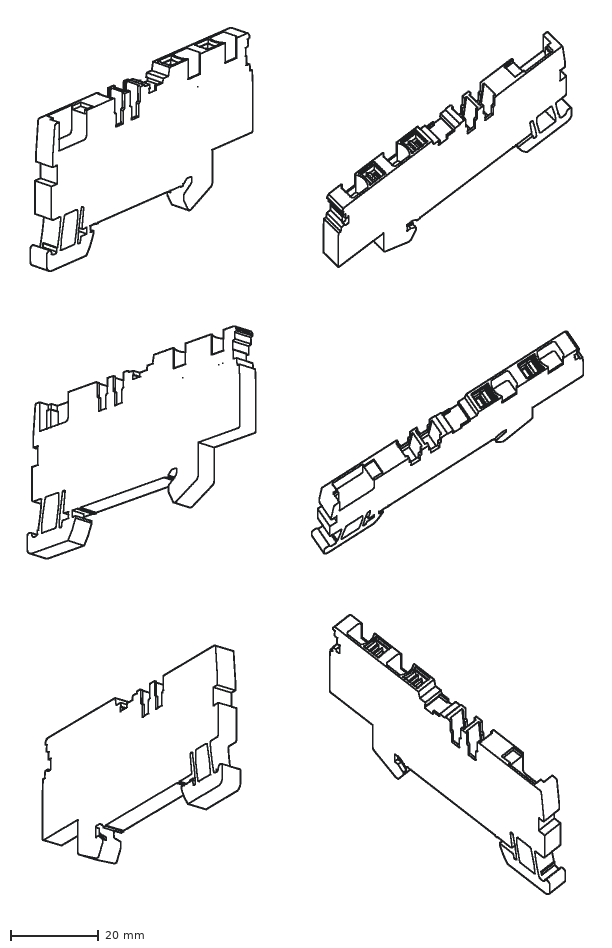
import cadquery as cq
import math


WIDTH = 5.1
LENGTH = 71.04
HEIGHT = 37.65
HALF = WIDTH / 2
MARGIN = 1.0
EDGE_WINDOW = 0.1

HOUSING_FLOOR = 12.5
LOW_TOP = 36.05
HIGH_TOP = HEIGHT
RAIL_SEAT = 6.95
HOUSING_FRONT = 1.6

SLOT_PITCH = 5.35
SLOT_FIRST_Y = 25.1
SLOT_COUNT = 2
SLOT_LIP_RADIUS = 0.4
SLOT_FLOOR = 28.75
SLOT_STEP_Z = 32.2
SLOT_WIDTH = 2.4
SLOT_MOUTH = 3.4
SLOT_TIP_CHAMFER = 0.45

SOCKET_X = (-2.0, 1.8)
SOCKET_TOP_WIDTH = 4.5
SOCKET_OFFSET_Y = -0.05
SOCKET_FLOOR = 26.0

MARKER_SHELF = 35.6
MARKER_FLOOR = 34.55
MARKER_Y = (35.62, 39.95)
MARKER_FLARE = 0.2
MARKER_WELL_Y = (35.3, 40.4)
MARKER_WELL_MID = 37.7
MARKER_WELL_FLOOR = 33.5
MARKER_WALL = 0.42

ENTRY_PITCH = 12.69
ENTRY_COUNT = 2
ENTRY_BACK = 66.15
ENTRY_SHOULDER = 61.5
ENTRY_TIP = 60.75
ENTRY_X = (-2.05, 2.25)
ENTRY_DEPTH = 8.0
ENTRY_CORNER = 0.6
ENTRY_OPEN_DEPTH = 5.0

RELEASE_X = (-1.93, 2.1)
RELEASE_Y = (55.98, 60.65)
RELEASE_BULGE = 0.35
RELEASE_DEPTH = 3.2
RELEASE_RIM_DEPTH = 1.0
RELEASE_RIM = 0.2
RIB_DEPTH = 2.0
BACK_RIB_Y = (59.6, 60.0)
BAR_Y = (57.85, 58.5)
BAR_TAPER = 0.45
BLADE_SLOT_Y = (56.5, 57.6)
BLADE_SLOT_HALF = 1.2
BLADE_SLOT_DEPTH = 1.0

BAY_X = -2.05
BAY_BACK = 13.7
BAY_FLOOR_RADIUS = 0.95
BAY_FRONT = 5.55
BAY_STEP_X = 0.35
BAY_STEP_FRONT = 4.25
BAY_FLOOR = 29.0
BAY_LEDGE_DEPTH = 1.5
BAY_LEDGE_Y = 0.28
BAY_LEDGE_X = 0.5
BAY_RECESS_X = (-1.62, 2.05)
BAY_RECESS_BACK = 16.4
BAY_RECESS_DEPTH = 1.0

FOOT_TOP = 5.35
LEG_OUTER_Y = 4.85
LEG_INNER_Y = 11.9
BASE_END_Y = 12.75
SPRING_ROOTS_Y = (LEG_OUTER_Y, LEG_INNER_Y, BASE_END_Y)
LEG_BEND = 52.0
LIP_X = (-1.7, HALF)
LIP_Y = (3.4, 3.8)
LIP_Z = (3.6, 5.15)
WEB_Y = (13.8, 15.1)
WEB_X = (-1.0, HALF)
SLOT_ROUND = 0.42
HOOK_RELIEF = 1.0
LATCH_RELIEF = 1.0
SEAT_PAD_DROP = 0.2
SEAT_PADS_Y = ((16.95, 17.75), (46.1, 47.1))


def rounded_wire(plane, corners):
    """Close a polygon; a third number on a corner is its rounding radius."""
    stretches = []
    count = len(corners)
    for i, corner in enumerate(corners):
        here = cq.Vector(corner[0], corner[1])
        if len(corner) == 2:
            stretches.append((here, None, here))
            continue
        before = corners[i - 1]
        after = corners[(i + 1) % count]
        to_before = (cq.Vector(before[0], before[1]) - here).normalized()
        to_after = (cq.Vector(after[0], after[1]) - here).normalized()
        half_angle = to_before.getAngle(to_after) / 2
        radius = corner[2]
        reach = radius / math.tan(half_angle)
        bisector = (to_before + to_after).normalized()
        middle = here + bisector * (radius / math.sin(half_angle) - radius)
        stretches.append((here + to_before * reach, middle, here + to_after * reach))
    start = stretches[0][2]
    wire = plane.moveTo(start.x, start.y)
    for entry, middle, leave in stretches[1:] + stretches[:1]:
        wire = wire.lineTo(entry.x, entry.y)
        if middle is not None:
            wire = wire.threePointArc((middle.x, middle.y), (leave.x, leave.y))
    return wire.close()


def side_plate(corners, x_range=(-HALF, HALF)):
    """Solid with the given Y-Z outline, between two X positions."""
    plane = cq.Workplane("YZ", origin=(x_range[0], 0, 0))
    return rounded_wire(plane, corners).extrude(x_range[1] - x_range[0])


def top_prism(corners, z_range):
    """Solid with the given X-Y outline, between two Z levels."""
    plane = cq.Workplane("XY", origin=(0, 0, z_range[0]))
    return rounded_wire(plane, corners).extrude(z_range[1] - z_range[0])


def block(x_range, y_range, z_range):
    """Box between two positions along each axis."""
    sizes = [high - low for low, high in (x_range, y_range, z_range)]
    corner = (x_range[0], y_range[0], z_range[0])
    return cq.Workplane("XY").box(*sizes, centered=False).translate(corner)


def housing():
    """Upper body with the notched ends and the stepped top."""
    return side_plate([
        (HOUSING_FRONT, HOUSING_FLOOR, 0.6),
        (HOUSING_FRONT, 21.0),
        (3.55, 21.0),
        (3.55, 25.6),
        (2.0, 25.6),
        (2.0, 27.9),
        (2.75, LOW_TOP, 0.6),
        (33.8, LOW_TOP, 0.35),
        (33.9, MARKER_SHELF),
        (41.9, MARKER_SHELF),
        (42.35, HIGH_TOP),
        (68.95, HIGH_TOP),
        (69.45, 37.5),
        (69.95, 36.75),
        (69.95, 36.3),
        (69.35, 36.05),
        (69.5, 34.4),
        (68.65, 34.1),
        (68.65, 32.05),
        (68.9, 32.05),
        (68.9, 29.75),
        (70.0, 29.65),
        (70.2, 27.95),
        (70.85, 27.95),
        (LENGTH, 24.5),
        (LENGTH, HOUSING_FLOOR, 0.5),
    ])


def base():
    """Lower body resting on the rail, with the fixed hook."""
    return side_plate([
        (BASE_END_Y, HOUSING_FLOOR),
        (12.1, RAIL_SEAT, 0.35),
        (46.9, RAIL_SEAT),
        (48.3, 8.2, 0.9),
        (50.05, 8.2, 0.5),
        (49.9, 6.6, 0.4),
        (47.25, 4.6, 0.5),
        (47.25, 3.0, 0.8),
        (48.9, 0.0, 0.3),
        (49.7, 0.0, 0.6),
        (57.15, 3.8, 1.2),
        (57.15, HOUSING_FLOOR),
    ])


def sprung_foot():
    """Movable foot hanging from two slanted legs."""
    foot = side_plate([
        (16.2, FOOT_TOP),
        (16.2, 4.8),
        (15.0, 2.05),
        (13.65, 0.0),
        (0.0, 0.0, 1.6),
        (0.0, 5.25, 0.76),
        (1.53, 5.25, 0.76),
        (1.7, 3.85, 0.7),
        (3.35, 3.85, 0.7),
        (4.43, 8.2, LEG_BEND),
        (LEG_OUTER_Y, HOUSING_FLOOR),
        (LEG_INNER_Y, HOUSING_FLOOR),
        (10.97, 7.4, LEG_BEND),
        (10.65, 3.85, 0.35),
        (11.5, 3.85, 0.35),
        (11.75, FOOT_TOP, 0.2),
    ])
    window = side_plate([
        (10.6, HOUSING_FLOOR, 0.5),
        (6.1, HOUSING_FLOOR, 0.5),
        (4.85, 6.3, 20.0),
        (4.85, 4.1),
        (9.65, 4.1, 0.5),
        (10.6, 9.8, 8.0),
    ])
    web = block(WEB_X, WEB_Y, (FOOT_TOP - MARGIN, RAIL_SEAT + MARGIN))
    lip = block(LIP_X, LIP_Y, LIP_Z)
    return foot.cut(window).union(web).union(lip)


def seat_pads():
    """Low pads near both ends of the rail seat."""
    z_range = (RAIL_SEAT - SEAT_PAD_DROP, RAIL_SEAT + MARGIN)
    pads = [block((-HALF, HALF), y_range, z_range) for y_range in SEAT_PADS_Y]
    return pads[0].union(pads[1])


def round_cross_edge(body, y, z, radius):
    """Round the edge that runs along X at the given Y and Z."""
    low = (-WIDTH, y - EDGE_WINDOW, z - EDGE_WINDOW)
    high = (WIDTH, y + EDGE_WINDOW, z + EDGE_WINDOW)
    return body.edges(cq.selectors.BoxSelector(low, high)).fillet(radius)


def round_spring_roots(body):
    """Round the inner corners where the legs meet the housing."""
    for y in SPRING_ROOTS_Y:
        body = round_cross_edge(body, y, HOUSING_FLOOR, SLOT_ROUND)
    return body


def plug_slot(centre):
    """Stepped plug slot through the full width."""
    half = SLOT_WIDTH / 2
    mouth = SLOT_MOUTH / 2
    top = LOW_TOP + MARGIN
    return side_plate([
        (centre - half, SLOT_FLOOR),
        (centre + half, SLOT_FLOOR),
        (centre + half, SLOT_STEP_Z - SLOT_TIP_CHAMFER / 2),
        (centre + mouth, SLOT_STEP_Z + SLOT_TIP_CHAMFER / 2),
        (centre + mouth, top),
        (centre - mouth, top),
        (centre - mouth, SLOT_STEP_Z + SLOT_TIP_CHAMFER / 2),
        (centre - half, SLOT_STEP_Z - SLOT_TIP_CHAMFER / 2),
    ])


def socket(centre):
    """Tapered hollow around a plug slot, between the side walls."""
    half = SLOT_WIDTH / 2
    middle = centre + SOCKET_OFFSET_Y
    top_half = SOCKET_TOP_WIDTH / 2
    return side_plate([
        (centre - half, SOCKET_FLOOR),
        (centre + half, SOCKET_FLOOR),
        (middle + top_half, LOW_TOP),
        (middle - top_half, LOW_TOP),
    ], SOCKET_X)


def cut_plug_slots(body):
    """Cut the plug slots, round the two outer lips, then hollow the sockets."""
    centres = [SLOT_FIRST_Y + i * SLOT_PITCH for i in range(SLOT_COUNT)]
    for centre in centres:
        body = body.cut(plug_slot(centre))
    for y in (centres[0] - SLOT_MOUTH / 2, centres[-1] + SLOT_MOUTH / 2):
        body = round_cross_edge(body, y, LOW_TOP, SLOT_LIP_RADIUS)
    for centre in centres:
        body = body.cut(socket(centre))
    return body


def marker_groove():
    """Flared groove with a deeper well; the well has one open half per side."""
    front, back = MARKER_Y
    groove = side_plate([
        (front, MARKER_FLOOR),
        (back, MARKER_FLOOR),
        (back + MARKER_FLARE, MARKER_SHELF),
        (front - MARKER_FLARE, MARKER_SHELF),
    ])
    well_z = (MARKER_WELL_FLOOR, MARKER_FLOOR)
    inner = HALF - MARKER_WALL
    front_half = block((-inner, HALF), (MARKER_WELL_Y[0], MARKER_WELL_MID), well_z)
    back_half = block((-HALF, inner), (MARKER_WELL_MID, MARKER_WELL_Y[1]), well_z)
    return groove.union(front_half).union(back_half)


def conductor_entry(shift):
    """Conductor funnel with a bowed front wall, open to the +X side near the top."""
    left, right = ENTRY_X
    shoulder = ENTRY_SHOULDER - shift
    back = ENTRY_BACK - shift
    top = HIGH_TOP + MARGIN
    funnel = (
        cq.Workplane("XY", origin=(0, 0, HIGH_TOP - ENTRY_DEPTH))
        .moveTo(left, back)
        .lineTo(left, shoulder)
        .threePointArc(((left + right) / 2, ENTRY_TIP - shift), (right, shoulder))
        .lineTo(right, back)
        .close()
        .extrude(ENTRY_DEPTH + MARGIN)
        .edges("|Z and >Y")
        .fillet(ENTRY_CORNER)
    )
    opening = block(
        (right - MARGIN, HALF),
        (shoulder, back - ENTRY_CORNER),
        (HIGH_TOP - ENTRY_OPEN_DEPTH, top),
    )
    return funnel.union(opening)


def release_pocket(shift):
    """Screwdriver pocket with a rib, a tapered bar and a blade slot at its bottom."""
    left, right = RELEASE_X
    front, back = [y - shift for y in RELEASE_Y]
    floor = HIGH_TOP - RELEASE_DEPTH
    mouth = (
        cq.Workplane("XY", origin=(0, 0, HIGH_TOP - RELEASE_RIM_DEPTH))
        .moveTo(left, front)
        .lineTo(right, front)
        .lineTo(right, back)
        .threePointArc(((left + right) / 2, back - RELEASE_BULGE), (left, back))
        .close()
        .extrude(RELEASE_RIM_DEPTH + MARGIN)
    )
    left += RELEASE_RIM
    right -= RELEASE_RIM
    well = block(
        (left, right),
        (front + RELEASE_RIM, back - RELEASE_BULGE),
        (floor, HIGH_TOP),
    )
    rib_z = (floor, HIGH_TOP - RIB_DEPTH)
    rib = block(RELEASE_X, [y - shift for y in BACK_RIB_Y], rib_z)
    bar_front, bar_back = [y - shift for y in BAR_Y]
    bar = top_prism([
        (left + BAR_TAPER, bar_front),
        (right - BAR_TAPER, bar_front),
        (right, bar_back),
        (left, bar_back),
    ], rib_z)
    blade_slot = block(
        (-BLADE_SLOT_HALF, BLADE_SLOT_HALF),
        [y - shift for y in BLADE_SLOT_Y],
        (floor - BLADE_SLOT_DEPTH, floor),
    )
    return well.cut(rib).cut(bar).union(mouth).union(blade_slot)


def front_bay():
    """Bay open to +X with a rounded floor, a ledged and stepped front and a recess."""
    top = LOW_TOP + MARGIN
    bay = side_plate([
        (BAY_FRONT, BAY_FLOOR),
        (BAY_BACK, BAY_FLOOR, BAY_FLOOR_RADIUS),
        (BAY_BACK, top),
        (BAY_FRONT, top),
    ], (BAY_X, HALF))
    step = block((BAY_STEP_X, HALF), (BAY_STEP_FRONT, BAY_FRONT), (BAY_FLOOR, top))
    ledge_z = (LOW_TOP - BAY_LEDGE_DEPTH, top)
    front_ledge = block((BAY_X, HALF), (BAY_FRONT - BAY_LEDGE_Y, BAY_FRONT), ledge_z)
    step_ledge = block((BAY_STEP_X - BAY_LEDGE_X, HALF), (BAY_STEP_FRONT, BAY_FRONT), ledge_z)
    recess = block(BAY_RECESS_X, (BAY_FRONT, BAY_RECESS_BACK), (LOW_TOP - BAY_RECESS_DEPTH, top))
    return bay.union(step).union(front_ledge).union(step_ledge).union(recess)


def hook_relief():
    """Shallow cut that sets the hook mouth back on the -X face."""
    return side_plate([
        (50.05, 5.4),
        (48.9, 5.4),
        (47.2, 3.8),
        (46.8, 4.6),
        (49.0, 7.9),
        (50.05, 7.9),
    ], (-HALF, HOOK_RELIEF - HALF))


def latch_relief():
    """Shallow cut in the -X face beside the notch of the +Y end."""
    return side_plate([
        (69.2, 32.05),
        (67.75, 32.05),
        (67.75, 29.15, 0.5),
        (68.9, 29.15, 0.3),
    ], (-HALF, LATCH_RELIEF - HALF))


body = housing().union(base()).union(sprung_foot())
body = round_spring_roots(body).union(seat_pads())

body = cut_plug_slots(body)
for index in range(ENTRY_COUNT):
    offset = index * ENTRY_PITCH
    body = body.cut(conductor_entry(offset)).cut(release_pocket(offset))
for cutter in (marker_groove(), front_bay(), hook_relief(), latch_relief()):
    body = body.cut(cutter)

result = body.translate((0, -LENGTH / 2, -HEIGHT / 2))